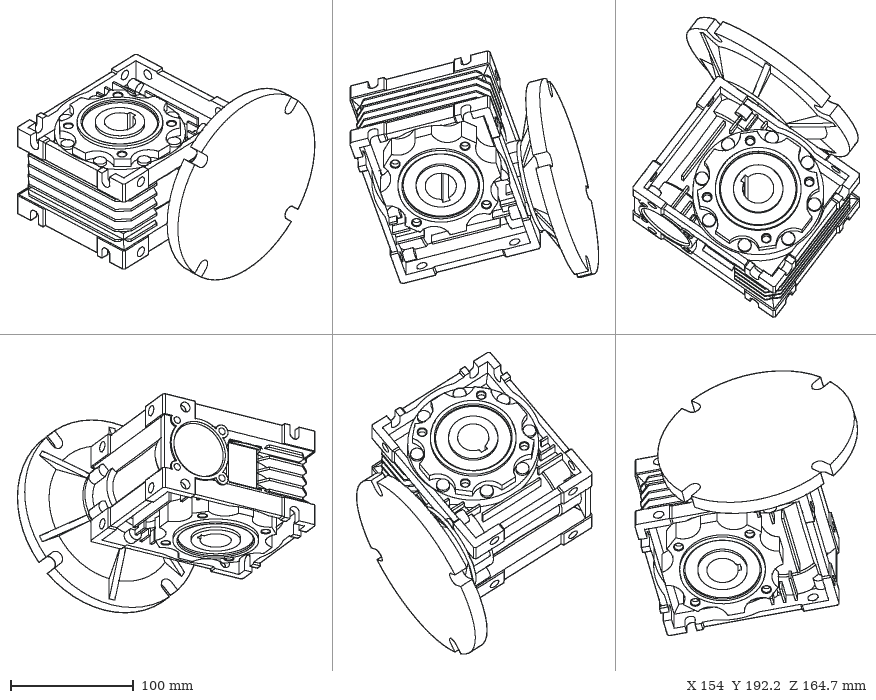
import cadquery as cq
import math

overall_length_y = 192.2
worm_offset = 50.0
flange_radius = 164.7 / 2
flange_back_x = 94.2

foot_step = 1.5
pad_half_x = 59.8
pad_min_y = worm_offset + flange_radius - overall_length_y
pad_max_y = 84.0
pad_top_z = 42.3
pad_length = 31.1
wall_top_z = 41.0
skirt_start_z = 24.2
skirt_end_z = 14.2
gear_side_skirt_end_z = 16.0
pocket_half_x = 53.0
pocket_min_y = -52.9
pocket_max_y = 76.5
pocket_bend_z = 24.0
floor_top_z = 18.8
floor_max_y = 28.8

wall_half_x = pad_half_x - foot_step
wall_min_y = pad_min_y + foot_step
wall_max_y = pad_max_y - foot_step

mount_radius = 4.2
mount_z = 34.8
mount_cut_depth = 9.6
mount_offset = 39.6
mount_worm_side_y = 63.5

chest_radius = 47.5
clearance_radius = 56.1
core_half_x = chest_radius
core_max_y = 69.2

cover_radius = 53.5
cover_rim_top_z = 35.8
lobe_top_z = 43.3
lobe_apothem = 49.2
scallop_radius = 14.5
scallop_centre = 55.5
ring_top_z = 92.0 / 2
ring_radius = 35.0
recess_radius = 30.8
recess_chamfer = 1.0
recess_floor_z = 43.5
tapped_radius = 3.5
tapped_depth = 5.4
tapped_chamfer = 0.5
tapped_offset = 29.8
drill_point_angle = 118
bolt_count = 8
bolt_head_radius = 5.4
bolt_head_height = 2.5
bolt_circle_radius = 47.1

shaft_radius = 20.2
bore_radius = 12.7
key_width = 6.0
key_top_y = 15.4

tube_mid_radius = 24.6
tube_end_radius = 25.4
tube_mid_x = 4.8
cap_boss_radius = 27.0
cap_boss_end_x = -33.6
cap_boss_taper = 1.3
input_boss_radius = 30.5
input_boss_start_x = 38.3
input_boss_taper = 0.8
input_face_x = 61.1
cap_radius = 24.2
cap_recess_taper = 1.0
cap_recess_depth = 2.0
cap_screw_offset = 21.1
screw_boss_radius = 5.5
cap_screw_boss_end_x = -43.6
cap_screw_hole_radius = 2.9
cap_screw_hole_depth = 9.6
input_screw_boss_start_x = 44.2
input_screw_circle = 33.3
input_screw_count = 6

fin_count = 5
fin_pitch = 10.0
fin_thickness = 2.1
fin_half_x = 57.0
fin_min_y = -57.7
fin_corner = 9.2
fin_end_y = -17.5
fin_root_y = -12.1
rib_top_z = 34.8
rib_thickness = 2.0
long_rib_y = 58.0
long_rib_ends_x = (-25.2, 32.9)
side_rib_places = ((49.6, 29.5), (39.8, 38.6), (30.0, 46.5))

plate_face_x = -48.5
plate_root_x = -42.3
plate_min_y = -12.1
plate_max_y = 17.7
plate_end_bevel = 1.7
plate_half_z = 18.6
plate_mouth_depth = 4.6
plate_recess_flare = 1.0

flange_thickness = 12.0
collar_radius = 37.9
collar_thickness = 3.3
cone_end_radius = 59.4
gusset_tip_radius = 77.5
gusset_width = 5.4
gusset_count = 6
slot_count = 4
slot_centre_radius = 73.8
slot_radius = 5.5


def box(x0, x1, y0, y1, z0, z1):
    """Box between two opposite corners."""
    return cq.Workplane("XY").box(x1 - x0, y1 - y0, z1 - z0, centered=False).translate((x0, y0, z0))


def disc_z(radius, z0, z1):
    """Cylinder on the gear axis."""
    return cq.Workplane("XY", origin=(0, 0, z0)).circle(radius).extrude(z1 - z0)


def rod_x(radius, x0, x1, y=worm_offset, z=0.0):
    """Cylinder along X, on the worm axis unless placed elsewhere."""
    return cq.Workplane("YZ", origin=(x0, y, z)).circle(radius).extrude(x1 - x0)


def cone_x(r0, r1, x0, x1):
    """Cone frustum along the worm axis."""
    start = cq.Workplane("YZ", origin=(x0, worm_offset, 0)).circle(r0)
    return start.workplane(offset=x1 - x0).circle(r1).loft()


def sloped_prism(half_x, y0, y1, z_top, z_bend, z_end):
    """Rectangular prism down to z_bend, then narrowing at 45 degrees down to z_end."""
    straight = box(-half_x, half_x, y0, y1, z_bend, z_top)
    middle = cq.Workplane("XY", origin=(0, (y0 + y1) / 2, z_bend))
    return straight.union(middle.rect(2 * half_x, y1 - y0).extrude(z_end - z_bend, taper=45))


def mirrored_z(shape):
    return shape.mirror("XY")


def corner_pads():
    """Four thicker frame corners, chamfered down to the thin walls."""
    pad = box(-pad_length, 0, -pad_length, 0, skirt_start_z, pad_top_z)
    pad = pad.edges("|Z").chamfer(foot_step)
    pad = pad.faces(">Z").edges("<X").chamfer(foot_step)
    pad = pad.faces(">Z").edges("<Y").chamfer(foot_step)
    pad = pad.translate((pad_half_x, 0, 0))
    near = pad.mirror("XZ").translate((0, pad_min_y, 0))
    pads = pad.translate((0, pad_max_y, 0)).union(near)
    return pads.union(pads.mirror("YZ"))


def mount_openings():
    """Round holes in the frame walls; those at the gear-side corner are open slots."""
    openings = None
    places = (
        ("x", -1, -mount_offset, True),
        ("x", -1, mount_worm_side_y, False),
        ("x", 1, -mount_offset, False),
        ("y", -1, -mount_offset, True),
        ("y", -1, mount_offset, True),
        ("y", 1, -mount_offset, False),
        ("y", 1, mount_offset, False),
    )
    for axis, side, place, is_open in places:
        if axis == "x":
            start = min(side * pad_half_x, side * (pad_half_x - mount_cut_depth))
            plane = cq.Workplane("YZ", origin=(start, place, mount_z))
        else:
            end = pad_max_y if side > 0 else pad_min_y + mount_cut_depth
            plane = cq.Workplane("XZ", origin=(place, end, mount_z))
        opening = plane.circle(mount_radius).extrude(mount_cut_depth)
        if is_open:
            height = pad_top_z - mount_z
            gap = plane.center(0, height / 2).rect(2 * mount_radius, height)
            opening = opening.union(gap.extrude(mount_cut_depth))
        openings = opening if openings is None else openings.union(opening)
    return openings


def frame_half():
    """Upper frame before hollowing: walls with sloping skirt and corner pads."""
    frame = sloped_prism(wall_half_x, wall_min_y, wall_max_y, wall_top_z, skirt_start_z, skirt_end_z)
    frame = frame.union(corner_pads())
    return frame.cut(box(-pad_half_x, pad_half_x, pad_min_y, fin_root_y, 0, gear_side_skirt_end_z))


def pocket_half():
    """Open space in the upper frame: funnel-shaped pocket above a floor, wall relief, mount holes."""
    pocket = sloped_prism(
        pocket_half_x, pocket_min_y, pocket_max_y, pad_top_z, pocket_bend_z, skirt_end_z
    )
    pocket = pocket.cut(box(-pocket_half_x, pocket_half_x, pocket_min_y, floor_max_y, 0, floor_top_z))
    return pocket.union(disc_z(clearance_radius, skirt_start_z, pad_top_z)).union(mount_openings())


def inner_ribs():
    """Thin upright ribs along X on the worm tube, stopping short of the cover."""
    half = rib_thickness / 2
    ribs = box(*long_rib_ends_x, long_rib_y - half, long_rib_y + half, 0, rib_top_z)
    for y, inner_x in side_rib_places:
        rib = box(inner_x, pocket_half_x, y - half, y + half, 0, rib_top_z)
        ribs = ribs.union(rib).union(rib.mirror("YZ"))
    return ribs


def lobed_face(z0):
    """Octagonal face with a scallop at each corner, raised bearing ring and tapped holes."""
    octagon_diameter = 2 * lobe_apothem / math.cos(math.pi / bolt_count)
    half_step = 180 / bolt_count
    face = (
        cq.Workplane("XY", origin=(0, 0, z0))
        .transformed(rotate=(0, 0, half_step))
        .polygon(bolt_count, octagon_diameter)
        .extrude(lobe_top_z - z0)
    )
    scallops = (
        cq.Workplane("XY", origin=(0, 0, z0))
        .polarArray(scallop_centre, half_step, 360, bolt_count)
        .circle(scallop_radius)
        .extrude(lobe_top_z - z0)
    )
    face = face.cut(scallops).union(disc_z(ring_radius, lobe_top_z, ring_top_z))
    recess = disc_z(recess_radius, recess_floor_z, ring_top_z)
    chamfer = cq.Workplane("XY", origin=(0, 0, ring_top_z - recess_chamfer)).circle(recess_radius)
    chamfer = chamfer.workplane(offset=recess_chamfer).circle(recess_radius + recess_chamfer).loft()
    return face.cut(recess).cut(chamfer).cut(tapped_holes())


def tapped_holes():
    """Four blind holes with a chamfered mouth and a drill point."""
    point = tapped_radius / math.tan(math.radians(drill_point_angle / 2))
    profile = [
        (0, 0),
        (tapped_radius + tapped_chamfer, 0),
        (tapped_radius, -tapped_chamfer),
        (tapped_radius, -tapped_depth),
        (0, -tapped_depth - point),
    ]
    hole = cq.Workplane("XZ").polyline(profile).close().revolve(360, (0, 0), (0, 1))
    spacing = 2 * tapped_offset
    plane = cq.Workplane("XY", origin=(0, 0, lobe_top_z))
    places = plane.rect(spacing, spacing, forConstruction=True).vertices()
    return places.eachpoint(lambda place: hole.val().moved(place), combine=False)


def shaft_hole():
    return disc_z(shaft_radius, -ring_top_z, ring_top_z)


def worm_tube():
    """Worm tube with cap boss on -X, input boss on +X and their screw bosses."""
    tube = cone_x(tube_end_radius, tube_mid_radius, cap_boss_end_x, tube_mid_x)
    tube = tube.union(cone_x(tube_mid_radius, tube_end_radius, tube_mid_x, input_boss_start_x))
    tube = tube.union(rod_x(cap_boss_radius, -pad_half_x, cap_boss_end_x))
    tube = tube.union(
        cone_x(cap_boss_radius, tube_end_radius, cap_boss_end_x, cap_boss_end_x + cap_boss_taper)
    )
    tube = tube.union(rod_x(input_boss_radius, input_boss_start_x, input_face_x))
    taper_start_x = input_boss_start_x - input_boss_taper
    tube = tube.union(cone_x(tube_end_radius, input_boss_radius, taper_start_x, input_boss_start_x))
    for y, z in cap_screw_places():
        tube = tube.union(rod_x(screw_boss_radius, -pad_half_x, cap_screw_boss_end_x, y, z))
    for index in range(input_screw_count):
        angle = math.radians(90 + index * 360 / input_screw_count)
        y = worm_offset + input_screw_circle * math.cos(angle)
        z = input_screw_circle * math.sin(angle)
        tube = tube.union(rod_x(screw_boss_radius, input_screw_boss_start_x, input_face_x, y, z))
    return tube


def cap_end_wall():
    """Wall on -X joining the upper and lower frame, raised level with the cap boss."""
    wall = box(-wall_half_x, -pocket_half_x, worm_offset, wall_max_y, -skirt_start_z, skirt_start_z)
    raised_end_y = worm_offset + cap_screw_offset
    return wall.union(
        box(-pad_half_x, -wall_half_x, worm_offset, raised_end_y, -skirt_start_z, skirt_start_z)
    )


def cap_screw_places():
    steps = (-cap_screw_offset, cap_screw_offset)
    return [(worm_offset + dy, dz) for dy in steps for dz in steps]


def cap_cuts():
    """Shallow tapered recess of the end cap and its four screw holes."""
    cuts = cone_x(cap_radius, cap_radius - cap_recess_taper, -pad_half_x, -pad_half_x + cap_recess_depth)
    for y, z in cap_screw_places():
        hole_end_x = -pad_half_x + cap_screw_hole_depth
        cuts = cuts.union(rod_x(cap_screw_hole_radius, -pad_half_x, hole_end_x, y, z))
    return cuts


def cooling_fins():
    """Five fins around the gear side, with bevelled corners and slanted ends."""
    half_outline = [
        (0, fin_min_y),
        (fin_half_x - fin_corner, fin_min_y),
        (fin_half_x, fin_min_y + fin_corner),
        (fin_half_x, fin_end_y),
        (core_half_x, fin_root_y),
        (0, fin_root_y),
    ]
    fin = cq.Workplane("XY").polyline(half_outline).close().extrude(fin_thickness / 2, both=True)
    fin = fin.union(fin.mirror("YZ"))
    fins = cq.Workplane("XY")
    for index in range(fin_count):
        level = index - (fin_count - 1) / 2
        fins = fins.add(fin.translate((0, 0, level * fin_pitch)))
    return fins


def nameplate_recess():
    """Recess with flared upper and lower sides, cut into the skirts down to the core wall."""
    mouth_x = plate_face_x - plate_mouth_depth
    mouth_half_z = plate_half_z + plate_recess_flare
    side = cq.Workplane("XZ", origin=(0, plate_max_y, 0))
    side = side.polyline([
        (-core_half_x, -plate_half_z),
        (plate_face_x, -plate_half_z),
        (mouth_x, -mouth_half_z),
        (mouth_x, mouth_half_z),
        (plate_face_x, plate_half_z),
        (-core_half_x, plate_half_z),
    ])
    return side.close().extrude(plate_max_y - plate_min_y)


def nameplate_pad():
    """Raised pad with bevelled ends that fills the bottom of the recess."""
    outline = cq.Workplane("XY", origin=(0, 0, -plate_half_z))
    outline = outline.polyline([
        (plate_root_x, plate_min_y),
        (-core_half_x, plate_min_y),
        (plate_face_x, plate_min_y + plate_end_bevel),
        (plate_face_x, plate_max_y - plate_end_bevel),
        (-core_half_x, plate_max_y),
        (plate_root_x, plate_max_y),
    ])
    return outline.close().extrude(2 * plate_half_z)


def make_housing():
    frame = frame_half()
    body = frame.union(mirrored_z(frame))
    body = body.union(box(-core_half_x, core_half_x, 0, core_max_y, -skirt_end_z, skirt_end_z))
    body = body.union(disc_z(chest_radius, -floor_top_z, floor_top_z))
    body = body.union(cooling_fins())
    pocket = pocket_half()
    body = body.cut(pocket).cut(mirrored_z(pocket))
    body = body.cut(nameplate_recess()).union(nameplate_pad())
    ribs = inner_ribs()
    body = body.union(ribs).union(mirrored_z(ribs)).union(cap_end_wall()).union(worm_tube())
    body = body.cut(disc_z(cover_radius, floor_top_z, pad_top_z))
    body = body.union(mirrored_z(lobed_face(floor_top_z)))
    return body.cut(cap_cuts()).cut(shaft_hole())


def make_cover():
    """Bolted cover standing on the upper pocket floor, with its bolt heads."""
    cover = disc_z(cover_radius, floor_top_z, cover_rim_top_z).union(lobed_face(cover_rim_top_z))
    heads = (
        cq.Workplane("XY", origin=(0, 0, cover_rim_top_z))
        .polarArray(bolt_circle_radius, 180 / bolt_count, 360, bolt_count)
        .circle(bolt_head_radius)
        .extrude(bolt_head_height)
    )
    return cover.union(heads).cut(tapped_holes()).cut(shaft_hole())


def make_shaft():
    """Hollow output shaft with a keyway along the whole bore."""
    shaft = shaft_hole().cut(disc_z(bore_radius, -ring_top_z, ring_top_z))
    return shaft.cut(box(-key_width / 2, key_width / 2, 0, key_top_y, -ring_top_z, ring_top_z))


def make_flange():
    """Slotted motor flange with conical neck and triangular gussets."""
    plate_x = flange_back_x - flange_thickness
    neck_x = input_face_x + collar_thickness
    flange = rod_x(flange_radius, plate_x, flange_back_x)
    slot = cq.Workplane("YZ", origin=(plate_x, 0, 0)).center(slot_centre_radius, 0).circle(slot_radius)
    slot = slot.extrude(flange_thickness)
    slot = slot.union(
        box(plate_x, flange_back_x, slot_centre_radius, flange_radius, -slot_radius, slot_radius)
    )
    for index in range(slot_count):
        turned = slot.rotate((0, 0, 0), (1, 0, 0), (index + 0.5) * 360 / slot_count)
        flange = flange.cut(turned.translate((0, worm_offset, 0)))
    flange = flange.union(cone_x(collar_radius, cone_end_radius, neck_x, plate_x))
    flange = flange.union(rod_x(collar_radius, input_face_x, neck_x))
    gusset = (
        cq.Workplane("XZ")
        .polyline([(neck_x, 0), (neck_x, collar_radius), (plate_x, gusset_tip_radius), (plate_x, 0)])
        .close()
        .extrude(gusset_width / 2, both=True)
    )
    for index in range(gusset_count):
        turned = gusset.rotate((0, 0, 0), (1, 0, 0), index * 360 / gusset_count)
        flange = flange.union(turned.translate((0, worm_offset, 0)))
    return flange


housing = make_housing()
cover = make_cover()
shaft = make_shaft()
flange = make_flange()

result = cq.Compound.makeCompound([body.solids().val() for body in (housing, cover, shaft, flange)])